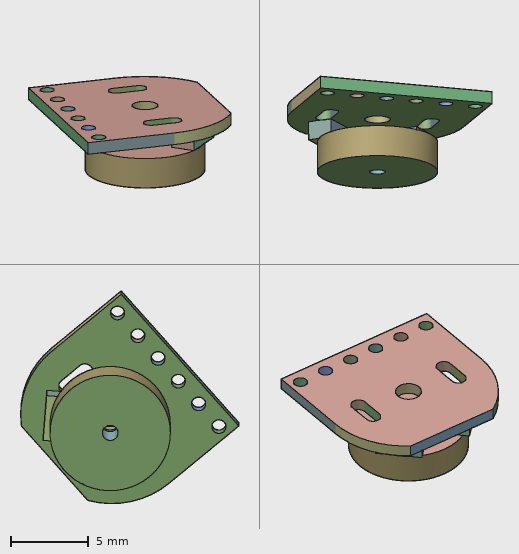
import cadquery as cq

magnet_height = 2.0
air_gap = 0.3
sensor_height = 1.2
board_thickness = 0.787
sensor_bottom = magnet_height + air_gap
board_bottom = sensor_bottom + sensor_height

board_half_width = 5.8
board_front = -5.9
board_back = 4.7
back_half_width = 3.28
corner_inset = board_half_width - back_half_width
corner_radius = (corner_inset**2 + board_back**2) / (2 * corner_inset)

shaft_hole_diameter = 1.65
slot_x = 3.4
slot_width = 1.0
slot_length = 2.55
pin_count = 6
pin_pitch = 2.0
pin_hole_diameter = 0.9
pin_row_y = -4.9

sensor_length = 3.0
sensor_width = 1.6
sensor_offset = 2.4
sensor_angle = 45

magnet_diameter = 7.72
magnet_bore = 1.0


def make_board_plate():
    """Flat board with a straight front and two rounded back corners."""
    return (
        cq.Workplane("XY", origin=(0, 0, board_bottom))
        .moveTo(-board_half_width, board_front)
        .lineTo(board_half_width, board_front)
        .lineTo(board_half_width, 0)
        .radiusArc((back_half_width, board_back), -corner_radius)
        .lineTo(-back_half_width, board_back)
        .radiusArc((-board_half_width, 0), -corner_radius)
        .close()
        .extrude(board_thickness)
    )


def make_board_openings():
    """Through cuts: centre hole, two slots along Y and the row of pin holes."""
    base = cq.Workplane("XY", origin=(0, 0, board_bottom))
    shaft_hole = base.circle(shaft_hole_diameter / 2).extrude(board_thickness)
    slots = (
        base.pushPoints([(-slot_x, 0), (slot_x, 0)])
        .slot2D(slot_length, slot_width, angle=90)
        .extrude(board_thickness)
    )
    pin_holes = (
        base.center(0, pin_row_y)
        .rarray(pin_pitch, 1, pin_count, 1)
        .circle(pin_hole_diameter / 2)
        .extrude(board_thickness)
    )
    return shaft_hole.add(slots).add(pin_holes).combine()


def make_sensor(side):
    """Rectangular block on the underside; side is -1 for -X and +1 for +X."""
    return (
        cq.Workplane("XY")
        .box(sensor_length, sensor_width, sensor_height, centered=(True, True, False))
        .rotate((0, 0, 0), (0, 0, 1), -side * sensor_angle)
        .translate((side * sensor_offset, sensor_offset, sensor_bottom))
    )


def make_sensor_board():
    """Board and its two sensor blocks as one solid."""
    board = make_board_plate().cut(make_board_openings())
    for side in (-1, 1):
        board = board.union(make_sensor(side))
    return board


def make_magnet():
    """Ring magnet hanging below the sensors, clear of the board."""
    return (
        cq.Workplane("XY")
        .circle(magnet_diameter / 2)
        .circle(magnet_bore / 2)
        .extrude(magnet_height)
    )


sensor_board = make_sensor_board()
magnet = make_magnet()

result = cq.Compound.makeCompound([sensor_board.solids().val(), magnet.val()])